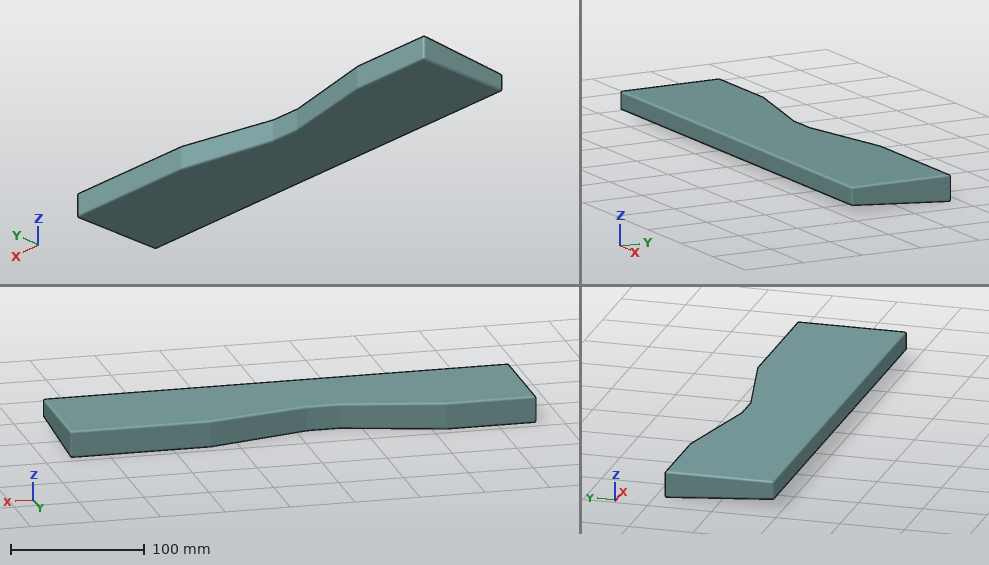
import cadquery as cq

length = 359.0
depth = 85.0
back_height = 21.0
front_height = 14.5

recess_left = 69.0
recess_right = 251.0
floor_left = 147.5
floor_right = 172.3
recess_depth = 17.2

edge_radius = 1.8


def wedge():
    """Side profile, flat on top and deeper towards the back, extruded along X."""
    return (
        cq.Workplane("YZ")
        .polyline([(0, 0), (depth, 0), (depth, -back_height), (0, -front_height)])
        .close()
        .extrude(length)
    )


def back_recess():
    """Trapezoidal cutter that passes through the full height at the back edge."""
    floor_y = depth - recess_depth
    return (
        cq.Workplane("XY")
        .polyline([
            (recess_left, depth),
            (floor_left, floor_y),
            (floor_right, floor_y),
            (recess_right, depth),
        ])
        .close()
        .extrude(-back_height)
    )


result = wedge().cut(back_recess()).edges().fillet(edge_radius)